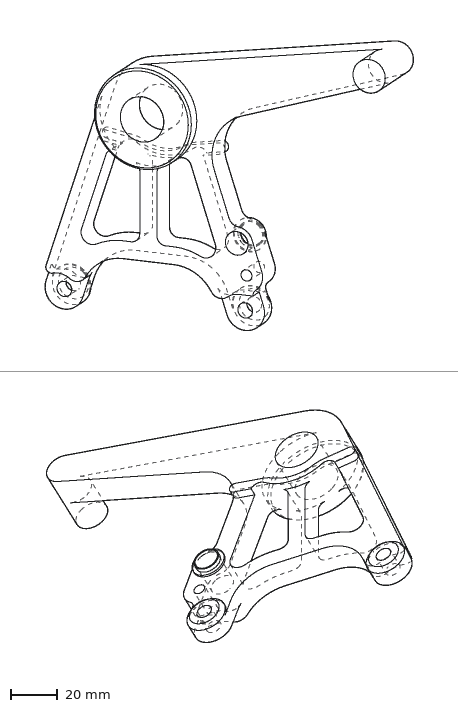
import cadquery as cq
import math


PLATE_T = 14.0
HUB_RISE = 7.0
PIN_RISE = 17.0
LUG_T = 7.0
BAR_RISE = 4.0
BOSS_RISE = 3.0
COLLAR_T = 1.0

HUB_R = 22.5
HUB_CHAMFER = 1.0
BORE_D = 20.1
ARM_LENGTH = 115.0
PIN_X = 109.76
PIN_R = 7.5
CROTCH_R = 20.0

LUG_DISTANCE = 94.0
LUG_X = 42.0
LUG_R = 9.0
LUG_HOLE_D = 6.78
LUG_CONE_LENGTH = 2.0
ARCH_Z = -65.3
ARCH_R = 20.0

RECESS_OUTER_R = 2.5
RECESS_INNER_R = 5.0

LEG_WIDTH = 10.0
RIB_WIDTH = 8.0
CROSSBAR_WIDTH = 8.0
WINDOW_R = 4.0
WINDOW_FOOT_R = 5.0

EAR_R = 7.5
EAR_TOP_V = 62.7
EAR_PITCH = 14.5
EAR_TOP_FILLET = 5.0
EAR_BOTTOM_FILLET = 3.0
EAR_HOLE_D = 10.5
EAR_SMALL_HOLE_D = 5.04
EAR_SLEEVE_R = 5.75

BAR_TILT = math.radians(10)
BAR_MID_R = 20.0
BAR_WIDTH = 5.0
BAR_REACH_LEFT = 23.4
BAR_REACH_RIGHT = 24.1
BAR_RELIEF_R = 19.5
BAR_SHOULDER_R = 12.0

LUG_Z = -math.sqrt(LUG_DISTANCE**2 - LUG_X**2)
PIN_Z = math.sqrt(ARM_LENGTH**2 - PIN_X**2)
LEG_TILT = math.atan2(LUG_X, -LUG_Z) - math.asin((HUB_R - LUG_R) / LUG_DISTANCE)
LUG_U = HUB_R - LUG_R
LUG_V = math.sqrt(LUG_DISTANCE**2 - LUG_U**2)
COS_LEG = math.cos(LEG_TILT)
SIN_LEG = math.sin(LEG_TILT)

ARCH_CENTER_Z = ARCH_Z - ARCH_R
ARCH_CENTER_X = (LUG_U - LUG_R - ARCH_R - ARCH_CENTER_Z * SIN_LEG) / COS_LEG


def leg(u, v):
    """(x, z) of a point u outward from the hub axis and v down the right leg."""
    return (u * COS_LEG + v * SIN_LEG, u * SIN_LEG - v * COS_LEG)


def mirrored(point):
    """The same point on the left side."""
    return (-point[0], point[1])


def toward(start, end, distance):
    """Point at the given distance from start in the direction of end."""
    fraction = distance / math.dist(start, end)
    return (start[0] + fraction * (end[0] - start[0]), start[1] + fraction * (end[1] - start[1]))


def circle_meeting(center_a, radius_a, center_b, radius_b):
    """Upper crossing of two circles, with center_a left of center_b."""
    gap = math.dist(center_a, center_b)
    along = (gap**2 + radius_a**2 - radius_b**2) / (2 * gap)
    across = math.sqrt(radius_a**2 - along**2)
    ex = (center_b[0] - center_a[0]) / gap
    ez = (center_b[1] - center_a[1]) / gap
    return (center_a[0] + along * ex - across * ez, center_a[1] + along * ez + across * ex)


def disc(x, z, radius, height):
    """Cylinder on the back-face plane; a positive height points to the front."""
    return cq.Workplane("XZ").center(x, z).circle(radius).extrude(height)


def make_plate():
    """Full outline: arm, ear, right lug, arch, left lug, left leg and hub."""
    pin_angle = math.atan2(PIN_Z, PIN_X) + math.acos((HUB_R - PIN_R) / ARM_LENGTH)
    top_x = math.cos(pin_angle)
    top_z = math.sin(pin_angle)
    pin_v = PIN_X * SIN_LEG - PIN_Z * COS_LEG
    pin_u = PIN_X * COS_LEG + PIN_Z * SIN_LEG
    arm_v = pin_v + PIN_R
    pin_mid_angle = (pin_angle + LEG_TILT - math.pi / 2) / 2
    pin_mid = (PIN_X + PIN_R * math.cos(pin_mid_angle), PIN_Z + PIN_R * math.sin(pin_mid_angle))
    hub_left = mirrored(leg(HUB_R, 0))
    hub_mid = toward((0, 0), (hub_left[0] + HUB_R * top_x, hub_left[1] + HUB_R * top_z), HUB_R)
    ear_bottom_v = EAR_TOP_V + EAR_PITCH
    top_fillet_v = EAR_TOP_V - math.sqrt((EAR_R + EAR_TOP_FILLET)**2 - EAR_TOP_FILLET**2)
    bottom_fillet_v = ear_bottom_v + math.sqrt((EAR_R + EAR_BOTTOM_FILLET)**2 - EAR_BOTTOM_FILLET**2)
    ear_top = (HUB_R, EAR_TOP_V)
    ear_bottom = (HUB_R, ear_bottom_v)
    top_blend = toward(ear_top, (HUB_R + EAR_TOP_FILLET, top_fillet_v), EAR_R)
    bottom_blend = toward(ear_bottom, (HUB_R + EAR_BOTTOM_FILLET, bottom_fillet_v), EAR_R)
    arch_end = leg(LUG_U - LUG_R, -ARCH_CENTER_Z * COS_LEG + ARCH_CENTER_X * SIN_LEG)

    def arc(path, point):
        return path.tangentArcPoint(point, relative=False)

    outline = cq.Workplane("XZ").moveTo(HUB_R * top_x, HUB_R * top_z)
    outline = outline.lineTo(PIN_X + PIN_R * top_x, PIN_Z + PIN_R * top_z)
    outline = outline.threePointArc(pin_mid, leg(pin_u, arm_v))
    outline = outline.lineTo(*leg(HUB_R + CROTCH_R, arm_v))
    outline = arc(outline, leg(HUB_R, arm_v + CROTCH_R))
    outline = outline.lineTo(*leg(HUB_R, top_fillet_v))
    outline = arc(outline, leg(*top_blend))
    outline = arc(outline, leg(HUB_R + EAR_R, EAR_TOP_V))
    outline = outline.lineTo(*leg(HUB_R + EAR_R, ear_bottom_v))
    outline = arc(outline, leg(*bottom_blend))
    outline = arc(outline, leg(HUB_R, bottom_fillet_v))
    outline = outline.lineTo(*leg(HUB_R, LUG_V))
    outline = arc(outline, leg(LUG_U - LUG_R, LUG_V))
    outline = outline.lineTo(*arch_end)
    outline = arc(outline, (ARCH_CENTER_X, ARCH_Z))
    outline = outline.lineTo(-ARCH_CENTER_X, ARCH_Z)
    outline = arc(outline, mirrored(arch_end))
    outline = outline.lineTo(*mirrored(leg(LUG_U - LUG_R, LUG_V)))
    outline = arc(outline, mirrored(leg(HUB_R, LUG_V)))
    outline = outline.lineTo(*hub_left)
    outline = outline.threePointArc(hub_mid, (HUB_R * top_x, HUB_R * top_z))
    return outline.close().extrude(PLATE_T)


def make_window():
    """Right window: between rib, hub circle, leg and crossbar."""
    rib_x = RIB_WIDTH / 2
    deep = PLATE_T + BAR_RISE
    floor_z = ARCH_Z + CROSSBAR_WIDTH
    floor_r = ARCH_R + CROSSBAR_WIDTH
    side_u = HUB_R - LEG_WIDTH
    arch_u = ARCH_CENTER_X * COS_LEG + ARCH_CENTER_Z * SIN_LEG
    arch_v = ARCH_CENTER_X * SIN_LEG - ARCH_CENTER_Z * COS_LEG
    pocket_u = side_u - WINDOW_FOOT_R
    pocket_v = arch_v - math.sqrt((floor_r + WINDOW_FOOT_R)**2 - (pocket_u - arch_u)**2)
    floor_end = toward((arch_u, arch_v), (pocket_u, pocket_v), floor_r)
    hub_corner = leg(side_u, math.sqrt(HUB_R**2 - side_u**2))
    rib_top_z = -math.sqrt(HUB_R**2 - rib_x**2)
    hub_mid = toward((0, 0), (hub_corner[0] + rib_x, hub_corner[1] + rib_top_z), HUB_R)
    window = (
        cq.Workplane("XZ")
        .moveTo(rib_x, rib_top_z)
        .lineTo(rib_x, floor_z)
        .lineTo(ARCH_CENTER_X, floor_z)
        .tangentArcPoint(leg(*floor_end), relative=False)
        .tangentArcPoint(leg(side_u, pocket_v), relative=False)
        .lineTo(*hub_corner)
        .threePointArc(hub_mid, (rib_x, rib_top_z))
        .close()
        .extrude(deep)
    )
    rib_corners = cq.selectors.BoxSelector((0, -deep, floor_z - 1), (rib_x + 1, 0, 0))
    leg_corner = cq.selectors.BoxSelector((rib_x + 1, -deep, rib_top_z), (HUB_R, 0, 0))
    window = window.edges("|Y").edges(rib_corners + leg_corner).fillet(WINDOW_R)
    return window.translate((0, BAR_RISE, 0))


def make_recess(beside_ear):
    """Cutter that thins a lug from the front, drawn for the left lug."""
    lug = (-LUG_X, LUG_Z)
    arch_center = (-ARCH_CENTER_X, ARCH_CENTER_Z)
    inner = circle_meeting(lug, LUG_R + RECESS_INNER_R, arch_center, ARCH_R + RECESS_INNER_R)
    inner_start = toward(lug, inner, LUG_R)
    inner_end = toward(arch_center, inner, ARCH_R)
    lug_top = (-LUG_X, LUG_Z + LUG_R)
    far_left = -LUG_X - 2 * LUG_R
    bottom_z = LUG_Z - 2 * LUG_R
    if beside_ear:
        outline = cq.Workplane("XZ").moveTo(far_left, lug_top[1]).lineTo(*lug_top)
    else:
        rise = 2 * math.sqrt(LUG_R * RECESS_OUTER_R)
        outer = mirrored(leg(HUB_R - RECESS_OUTER_R, LUG_V - rise))
        outer_start = mirrored(leg(HUB_R, LUG_V - rise))
        diagonal = RECESS_OUTER_R * math.sqrt(0.5)
        outer_mid = (outer[0] - diagonal, outer[1] - diagonal)
        outline = cq.Workplane("XZ").moveTo(far_left, outer_start[1]).lineTo(*outer_start)
        outline = outline.threePointArc(outer_mid, toward(lug, outer, LUG_R))
    return (
        outline.tangentArcPoint(inner_start, relative=False)
        .tangentArcPoint(inner_end, relative=False)
        .lineTo(*arch_center)
        .lineTo(-ARCH_CENTER_X, bottom_z)
        .lineTo(far_left, bottom_z)
        .close()
        .extrude(PLATE_T - LUG_T)
        .translate((0, -LUG_T, 0))
    )


def make_back_bar():
    """Bar of two drooping arms with rounded tips, joined under the hub."""
    half_width = BAR_WIDTH / 2
    top = BAR_MID_R - half_width
    bottom = BAR_MID_R + half_width
    cos_bar = math.cos(BAR_TILT)
    sin_bar = math.sin(BAR_TILT)

    def bar(along, below):
        """(x, z) of a point along the right arm and below the hub axis."""
        return (along * cos_bar + below * sin_bar, along * sin_bar - below * cos_bar)

    shoulder_along = math.sqrt((BAR_RELIEF_R + BAR_SHOULDER_R)**2 - (top + BAR_SHOULDER_R)**2)
    shoulder_start = bar(shoulder_along, top)
    shoulder_end = toward((0, 0), bar(shoulder_along, top + BAR_SHOULDER_R), BAR_RELIEF_R)
    left_tip_mid = mirrored(bar(BAR_REACH_LEFT + half_width, BAR_MID_R))
    return (
        cq.Workplane("XZ")
        .moveTo(*mirrored(bar(0, bottom)))
        .threePointArc((0, -bottom), bar(0, bottom))
        .lineTo(*bar(BAR_REACH_RIGHT, bottom))
        .threePointArc(bar(BAR_REACH_RIGHT + half_width, BAR_MID_R), bar(BAR_REACH_RIGHT, top))
        .lineTo(*shoulder_start)
        .tangentArcPoint(shoulder_end, relative=False)
        .threePointArc((0, -BAR_RELIEF_R), mirrored(shoulder_end))
        .tangentArcPoint(mirrored(shoulder_start), relative=False)
        .lineTo(*mirrored(bar(BAR_REACH_LEFT, top)))
        .threePointArc(left_tip_mid, mirrored(bar(BAR_REACH_LEFT, bottom)))
        .close()
        .extrude(-BAR_RISE)
    )


def make_lug_boss(x):
    """Coned boss on the back of a lug."""
    boss = disc(x, LUG_Z, LUG_R, -BOSS_RISE)
    return boss.faces(">Y").chamfer(BOSS_RISE - COLLAR_T, LUG_CONE_LENGTH)


ear_hole = leg(HUB_R, EAR_TOP_V)
ear_small_hole = leg(HUB_R, EAR_TOP_V + EAR_PITCH)

body = make_plate()
body = body.cut(make_recess(beside_ear=False))
body = body.cut(make_recess(beside_ear=True).mirror("YZ"))

hub = disc(0, 0, HUB_R, PLATE_T + HUB_RISE).faces("<Y").chamfer(HUB_CHAMFER)
pin = disc(PIN_X, PIN_Z, PIN_R, PLATE_T + PIN_RISE)
body = body.union(hub).union(pin)

body = body.union(make_back_bar())
body = body.union(make_lug_boss(-LUG_X)).union(make_lug_boss(LUG_X))
body = body.union(disc(*ear_hole, EAR_R, -COLLAR_T))
body = body.union(disc(*ear_hole, EAR_SLEEVE_R, -BOSS_RISE))

window = make_window()
body = body.cut(window).cut(window.mirror("YZ"))
holes = [
    ((0, 0), BORE_D),
    ((-LUG_X, LUG_Z), LUG_HOLE_D),
    ((LUG_X, LUG_Z), LUG_HOLE_D),
    (ear_hole, EAR_HOLE_D),
    (ear_small_hole, EAR_SMALL_HOLE_D),
]
for (hole_x, hole_z), diameter in holes:
    drill = cq.Workplane("XZ").center(hole_x, hole_z).circle(diameter / 2)
    body = body.cut(drill.extrude(PLATE_T + PIN_RISE, both=True))

result = body